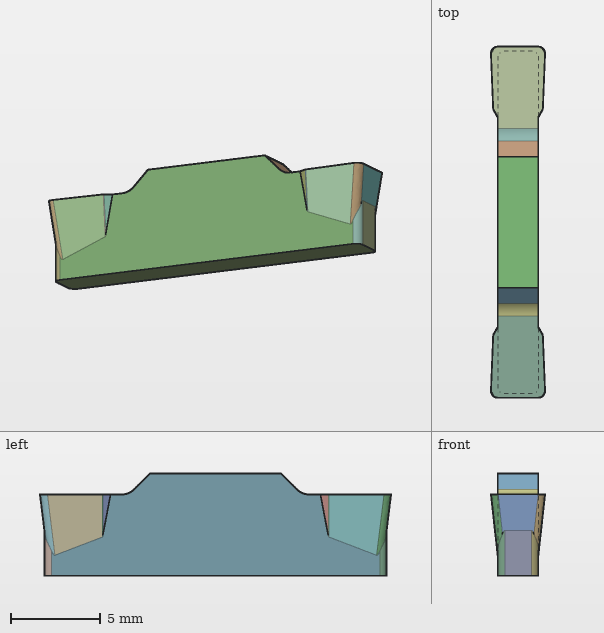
import cadquery as cq
import math

overall_length = 19.72
overall_height = 5.76
head_width = 3.05
body_width = 2.3
head_top = 4.58
corner_radius = 0.4

crest_length = 7.34
ramp_angle = math.radians(45)
ramp_radius = 1.0

side_back_angle = math.radians(2.3)
shoulder_distance = 3.52
neck_distance = 3.97
shoulder_radius = 0.1

front_relief = math.radians(7)
side_relief = math.radians(6)
front_relief_depth = 2.02
head_depth = 4.0

tip_y = overall_length / 2
body_end_y = tip_y - front_relief_depth * math.tan(front_relief)


def make_body():
    """Thin bar with rounded vertical corners and a raised block in the middle."""
    crest_y = crest_length / 2
    fillet_drop = ramp_radius * (1 - math.cos(ramp_angle))
    fillet_run = ramp_radius * math.sin(ramp_angle)
    ramp_foot_z = head_top + fillet_drop
    ramp_foot_y = crest_y + (overall_height - ramp_foot_z) / math.tan(ramp_angle)
    flat_y = ramp_foot_y + fillet_run
    mid_y = flat_y - ramp_radius * math.sin(ramp_angle / 2)
    mid_z = head_top + ramp_radius * (1 - math.cos(ramp_angle / 2))

    profile = (
        cq.Workplane("YZ", origin=(-body_width / 2, 0, 0))
        .moveTo(-body_end_y, 0)
        .lineTo(body_end_y, 0)
        .lineTo(body_end_y, head_top)
        .lineTo(flat_y, head_top)
        .threePointArc((mid_y, mid_z), (ramp_foot_y, ramp_foot_z))
        .lineTo(crest_y, overall_height)
        .lineTo(-crest_y, overall_height)
        .lineTo(-ramp_foot_y, ramp_foot_z)
        .threePointArc((-mid_y, mid_z), (-flat_y, head_top))
        .lineTo(-body_end_y, head_top)
        .close()
    )
    body = profile.extrude(body_width)
    return body.faces("<Y or >Y").edges("|Z").fillet(corner_radius)


def head_outline(depth):
    """Outline of the -Y head at a depth below its top face."""
    front_y = -tip_y + depth * math.tan(front_relief)
    shoulder_y = -tip_y + shoulder_distance
    neck_y = -tip_y + neck_distance
    side_shift = depth * math.tan(side_relief)

    widest_y = -tip_y + corner_radius
    front_x = head_width / 2 + (widest_y - front_y) * math.tan(side_back_angle) - side_shift
    shoulder_x = head_width / 2 - (shoulder_y - widest_y) * math.tan(side_back_angle) - side_shift
    neck_x = body_width / 2 - side_shift

    right_side = [(front_x, front_y), (shoulder_x, shoulder_y), (neck_x, neck_y)]
    left_side = [(-x, y) for x, y in reversed(right_side)]
    outline = cq.Sketch().polygon(right_side + left_side + right_side[:1])
    outline = outline.vertices("<Y").fillet(corner_radius).reset()
    return outline.vertices(">>Y[-2]").fillet(shoulder_radius).reset()


def make_head():
    """Flared -Y head whose faces lean inward until they run into the body."""
    lower = head_outline(head_depth).moved(cq.Location(cq.Vector(0, 0, -head_depth)))
    upper = head_outline(0)
    return cq.Workplane("XY", origin=(0, 0, head_top)).placeSketch(lower, upper).loft(ruled=True)


head = make_head()
result = make_body().union(head).union(head.mirror("XZ")).clean()